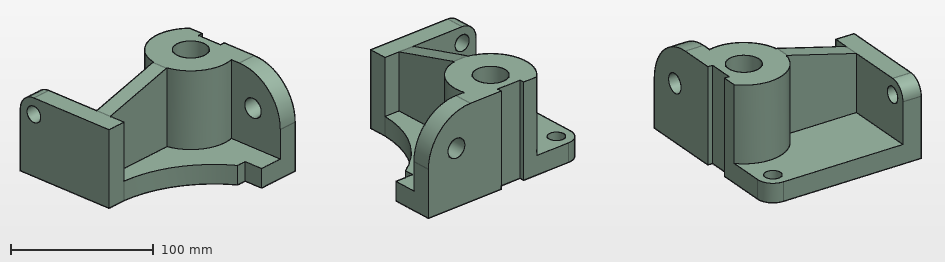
import cadquery as cq

length = 142.48
depth = 129.52
height = 77.71

thickness = 15.54
corner_radius = 12.95
corner_hole_diameter = 12.95

wall_width = 84.19
wall_height = 62.17

arc_radius = 90.67
step_width = 15.54
step_depth = 7.77
lug_foot_depth = 34.97

boss_diameter = 64.76
bore_diameter = 25.90
boss_x = 64.76
boss_y = depth - 23.31

lug_radius = 38.86
lug_hole_diameter = 15.54
lug_hole_x = length - 25.90
lug_hole_z = 46.63

rib_width = 12.95
rib_top_y = boss_y - boss_diameter / 2

keyway_width = 20.72
keyway_depth = 3.89


def cylinder_along_y(diameter, x, z, y_start, y_length):
    axis = cq.Vector(0, 1, 0)
    start = cq.Vector(x, y_start, z)
    return cq.Workplane(obj=cq.Solid.makeCylinder(diameter / 2, y_length, start, axis))


def make_base():
    step_x = length - step_width
    step_y = depth - lug_foot_depth
    plate = (
        cq.Workplane("XY")
        .lineTo(wall_width, 0)
        .lineTo(wall_width, thickness)
        .radiusArc((step_x, step_y - step_depth), arc_radius)
        .lineTo(step_x, step_y)
        .lineTo(length, step_y)
        .lineTo(length, depth)
        .lineTo(0, depth)
        .close()
        .extrude(thickness)
    )
    plate = plate.edges("|Z and <X and >Y").fillet(corner_radius)
    hole = (
        cq.Workplane("XY")
        .center(corner_radius, depth - corner_radius)
        .circle(corner_hole_diameter / 2)
        .extrude(thickness)
    )
    return plate.cut(hole)


def make_front_wall():
    wall = cq.Workplane("XY").box(wall_width, thickness, wall_height, centered=False)
    wall = wall.edges("|Y and <X and >Z").fillet(corner_radius)
    hole = cylinder_along_y(
        corner_hole_diameter, corner_radius, wall_height - corner_radius, 0, thickness
    )
    return wall.cut(hole)


def make_boss():
    boss = (
        cq.Workplane("XY")
        .center(boss_x, boss_y)
        .circle(boss_diameter / 2)
        .extrude(height)
    )
    envelope = cq.Workplane("XY").box(length, depth, height, centered=False)
    return boss.intersect(envelope)


def make_lug():
    lug = (
        cq.Workplane("XY")
        .box(length - boss_x, thickness, height, centered=False)
        .translate((boss_x, depth - thickness, 0))
    )
    return lug.edges("|Y and >X and >Z").fillet(lug_radius)


def make_rib():
    return (
        cq.Workplane("YZ")
        .workplane(offset=boss_x - rib_width / 2)
        .moveTo(thickness, 0)
        .lineTo(thickness, wall_height)
        .lineTo(rib_top_y, height)
        .lineTo(boss_y, height)
        .lineTo(boss_y, 0)
        .close()
        .extrude(rib_width)
    )


def make_bore():
    return (
        cq.Workplane("XY")
        .center(boss_x, boss_y)
        .circle(bore_diameter / 2)
        .extrude(height)
    )


def make_keyway():
    return (
        cq.Workplane("XY")
        .box(keyway_width, keyway_depth, height, centered=False)
        .translate((boss_x - keyway_width / 2, depth - keyway_depth, 0))
    )


body = make_base().union(make_front_wall()).union(make_boss()).union(make_lug()).union(make_rib())
lug_hole = cylinder_along_y(lug_hole_diameter, lug_hole_x, lug_hole_z, depth - thickness, thickness)
result = body.cut(make_bore()).cut(make_keyway()).cut(lug_hole)